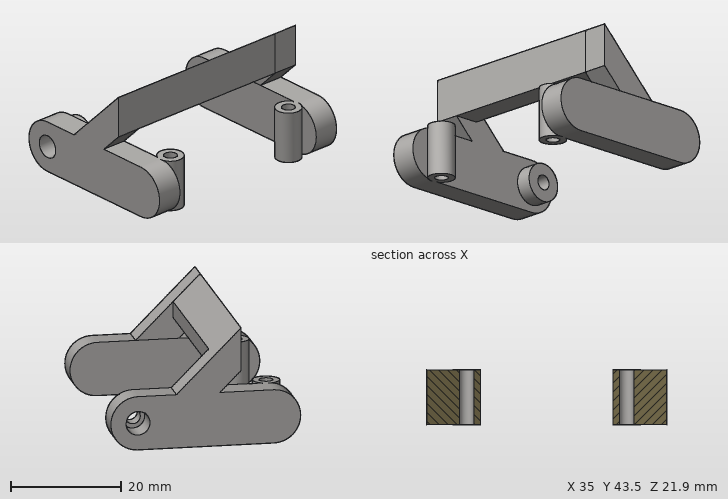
import cadquery as cq

frame_width = 43.5
arm_thickness = 5.0
arm_height = 10.0
arm_spacing = 25.0
arm_radius = arm_height / 2

strut_rise = 11.9
strut_depth = 8.0
strut_end_x = 19.0
crossbar_width = 5.0

tube_diameter = 5.0
tube_bore = 2.5
tube_inset = 7.25

boss_diameter = 7.2
boss_length = 3.0
pivot_counterbore = 4.4
pivot_bore = 2.8

rear_arm_y = frame_width - arm_thickness
strut_top = arm_radius + strut_rise
strut_end_bottom = strut_top - strut_depth


def extrude_along_y(profile, y_start, length):
    """Extrude an XZ-plane profile towards +Y from y_start."""
    return profile.extrude(-length).translate((0, y_start, 0))


def pivot_cylinder(diameter, y_start, length):
    """Cylinder on the pivot axis."""
    return extrude_along_y(cq.Workplane("XZ").circle(diameter / 2), y_start, length)


def make_arm(y_start, tube_y):
    """Round-ended arm with its vertical tube."""
    outline = cq.Workplane("XZ").center(arm_spacing / 2, 0).slot2D(arm_spacing + arm_height, arm_height)
    bar = extrude_along_y(outline, y_start, arm_thickness)
    tube_base = cq.Workplane("XY", origin=(arm_spacing, tube_y, -arm_radius))
    tube = tube_base.circle(tube_diameter / 2).extrude(arm_height)
    bore = tube_base.circle(tube_bore / 2).extrude(arm_height)
    return bar.union(tube).cut(bore)


def make_strut(y_start):
    """Sloped strut standing on the flat top of an arm."""
    root_x = strut_end_x - strut_rise
    profile = (
        cq.Workplane("XZ")
        .moveTo(root_x, arm_radius)
        .lineTo(strut_end_x, strut_top)
        .lineTo(strut_end_x, strut_end_bottom)
        .lineTo(root_x + strut_depth, arm_radius)
        .close()
    )
    return extrude_along_y(profile, y_start, arm_thickness)


def make_crossbar():
    """Bar from the front strut to the rear strut, flush with their sloped tops and vertical ends."""
    inner_x = strut_end_x - crossbar_width
    profile = (
        cq.Workplane("XZ")
        .moveTo(inner_x, strut_end_bottom)
        .lineTo(inner_x, strut_top - crossbar_width)
        .lineTo(strut_end_x, strut_top)
        .lineTo(strut_end_x, strut_end_bottom)
        .close()
    )
    return extrude_along_y(profile, arm_thickness, rear_arm_y - arm_thickness)


def make_front_frame():
    """Front arm, strut and crossbar in one piece, with the pivot boss and its stepped hole."""
    frame = make_arm(0, tube_inset).union(make_strut(0)).union(make_crossbar())
    boss = pivot_cylinder(boss_diameter, arm_thickness, boss_length)
    counterbore = pivot_cylinder(pivot_counterbore, 0, arm_thickness)
    bore = pivot_cylinder(pivot_bore, 0, arm_thickness + boss_length)
    return frame.union(boss).cut(counterbore).cut(bore)


front_frame = make_front_frame()
rear_arm = make_arm(rear_arm_y, frame_width - tube_inset)
rear_strut = make_strut(rear_arm_y)

result = cq.Compound.makeCompound([front_frame.val(), rear_arm.val(), rear_strut.val()])